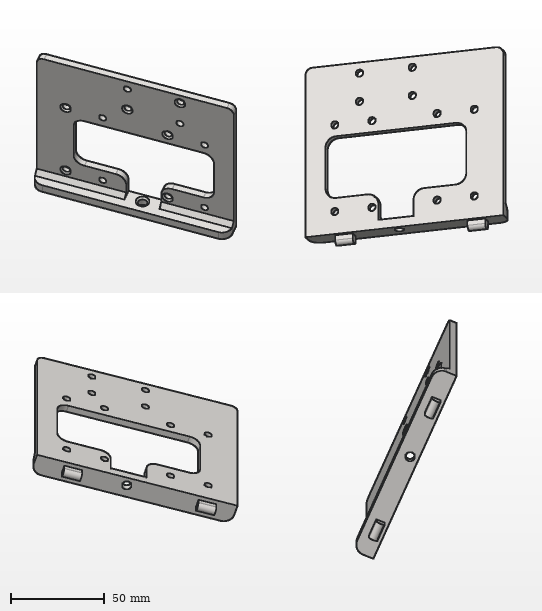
import cadquery as cq


width = 112.0
plate_height = 95.1
plate_thickness = 4.0
plate_corner_radius = 4.0

ledge_depth = 12.0
ledge_height = 5.3
ledge_corner_radius = 5.9
strip_size = 2.8
back_y = ledge_depth / 2
plate_front_y = back_y - plate_thickness

window_center_x = 4.8
window_width = 79.7
window_bottom = 20.3
window_top = 55.0
window_radius = 6.0
throat_width = 19.9

hole_diameter = 4.0
countersink_diameter = 6.0
countersink_angle = 90
left_pair_x = -39.5
right_pair_x = 18.4
pair_spacing = 21.0
lower_row_z = 12.7
middle_row_z = 61.5
top_left_x = -4.5
top_right_x = 25.4
top_row_low_z = 73.1
top_row_high_z = 89.0
countersunk_holes = [(x, z) for x in (left_pair_x, right_pair_x) for z in (lower_row_z, middle_row_z)]
plain_holes = [(x + pair_spacing, z) for x, z in countersunk_holes]
countersunk_holes += [(top_left_x, top_row_low_z), (top_right_x, top_row_high_z)]
plain_holes += [(top_left_x, top_row_high_z), (top_right_x, top_row_low_z)]

ledge_hole_diameter = 5.0
ledge_countersink_diameter = 7.3
ledge_hole_x = 4.5
ledge_hole_y = back_y - 4.8

foot_width = 10.0
foot_thickness = 5.0
foot_height = 5.0
foot_y = back_y - 4.9
foot_centers_x = (-39.9, 35.0)


def make_plate():
    plate = cq.Workplane("XY").box(width, plate_thickness, plate_height, centered=(True, False, False))
    plate = plate.edges("|Y and >Z").fillet(plate_corner_radius)
    return plate.translate((0, plate_front_y, 0))


def make_ledge(height):
    ledge = cq.Workplane("XY").box(width, ledge_depth, height, centered=(True, True, False))
    return ledge.edges("|Z and <Y").fillet(ledge_corner_radius)


def make_strip():
    """Triangular strip in the corner between the ledge and the plate, trimmed to the ledge outline."""
    strip = (
        cq.Workplane("YZ", origin=(-width / 2, 0, 0))
        .moveTo(plate_front_y, ledge_height)
        .lineTo(plate_front_y - strip_size, ledge_height)
        .lineTo(plate_front_y, ledge_height + strip_size)
        .close()
        .extrude(width)
    )
    return strip.intersect(make_ledge(ledge_height + strip_size))


def make_opening():
    """Rounded window joined to the throat, with rounded shoulders between them."""
    window_height = window_top - window_bottom
    window = (
        cq.Workplane("XY")
        .box(window_width, ledge_depth, window_height, centered=(True, True, False))
        .translate((window_center_x, 0, window_bottom))
        .edges("|Y")
        .fillet(window_radius)
    )
    throat_height = window_top - window_radius - ledge_height
    throat = (
        cq.Workplane("XY")
        .box(throat_width, ledge_depth, throat_height, centered=(True, True, False))
        .translate((window_center_x, 0, ledge_height))
    )
    shoulder_z = window_bottom - window_radius
    opening = window.union(throat)
    for side in (-1, 1):
        edge_x = window_center_x + side * throat_width / 2
        shoulder = (
            cq.Workplane("XZ", origin=(0, back_y, 0))
            .moveTo(edge_x, shoulder_z)
            .radiusArc((edge_x + side * window_radius, window_bottom), side * window_radius)
            .lineTo(edge_x, window_bottom)
            .close()
            .extrude(ledge_depth)
        )
        opening = opening.union(shoulder)
    return opening


def make_foot(center_x):
    nose_radius = foot_thickness / 2
    nose_z = nose_radius - foot_height
    return (
        cq.Workplane("YZ", origin=(center_x - foot_width / 2, 0, 0))
        .moveTo(foot_y - nose_radius, 0)
        .lineTo(foot_y - nose_radius, nose_z)
        .threePointArc((foot_y, -foot_height), (foot_y + nose_radius, nose_z))
        .lineTo(foot_y + nose_radius, 0)
        .close()
        .extrude(foot_width)
    )


body = make_plate().union(make_ledge(ledge_height)).union(make_strip()).cut(make_opening())

plate_face = cq.Workplane("XZ", origin=(0, plate_front_y, 0))
hole_cutters = plate_face.pushPoints(plain_holes).circle(hole_diameter / 2).extrude(-plate_thickness)
body = body.cut(hole_cutters)
body = body.copyWorkplane(plate_face).pushPoints(countersunk_holes)
body = body.cskHole(hole_diameter, countersink_diameter, countersink_angle, depth=plate_thickness)

ledge_top = cq.Workplane("XY", origin=(ledge_hole_x, ledge_hole_y, ledge_height))
body = body.copyWorkplane(ledge_top).pushPoints([(0, 0)])
body = body.cskHole(ledge_hole_diameter, ledge_countersink_diameter, countersink_angle, depth=ledge_height)

for center_x in foot_centers_x:
    body = body.union(make_foot(center_x))

result = body